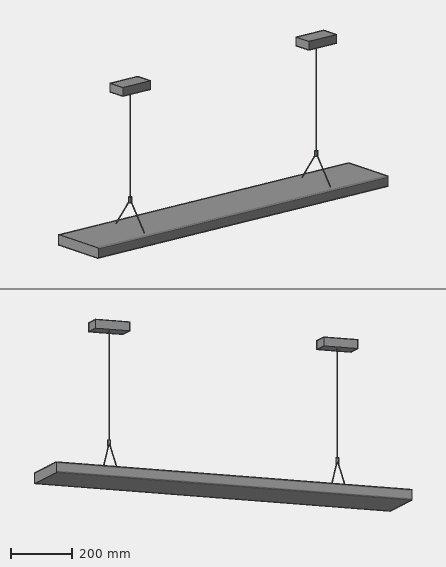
import cadquery as cq

body_width = 200.0
body_length = 1245.0
body_height = 36.0
body_edge_radius = 4.0

overall_height = 535.0
canopy_width = 65.0
canopy_length = 120.0
canopy_height = 30.0
canopy_spacing = 799.0
canopy_bottom = overall_height - canopy_height

cable_diameter = 1.5
cable_overlap = 1.0
gland_diameter = 3.9
gland_height = 7.0
ferrule_diameter = 10.0
ferrule_height = 19.0
ferrule_bottom = 125.0
ferrule_top = ferrule_bottom + ferrule_height
branch_start = 135.0
branch_reach = 72.0


def cylinder_between(start, end, diameter):
    """Solid round bar from one point to another."""
    axis = cq.Vector(*end) - cq.Vector(*start)
    return cq.Workplane(cq.Solid.makeCylinder(diameter / 2, axis.Length, cq.Vector(*start), axis))


def make_body():
    """Long flat lamp body with rounded long edges."""
    body = cq.Workplane().box(body_width, body_length, body_height, centered=(True, True, False))
    return body.edges("|Y").fillet(body_edge_radius)


def make_suspension(y):
    """Canopy, vertical cable, ferrule and two slanted branch cables."""
    canopy = (
        cq.Workplane(origin=(0, y, canopy_bottom))
        .box(canopy_width, canopy_length, canopy_height, centered=(True, True, False))
    )
    gland = cylinder_between((0, y, canopy_bottom - gland_height), (0, y, canopy_bottom), gland_diameter)
    cable = cylinder_between(
        (0, y, ferrule_top - cable_overlap), (0, y, canopy_bottom + cable_overlap), cable_diameter
    )
    ferrule = cylinder_between((0, y, ferrule_bottom), (0, y, ferrule_top), ferrule_diameter)
    suspension = canopy.union(gland).union(cable).union(ferrule)
    for side in (-1, 1):
        branch = cylinder_between(
            (0, y, branch_start),
            (side * branch_reach, y, body_height - cable_overlap),
            cable_diameter,
        )
        suspension = suspension.union(branch)
    return suspension


result = make_body()
for y_sign in (-1, 1):
    result = result.union(make_suspension(y_sign * canopy_spacing / 2))